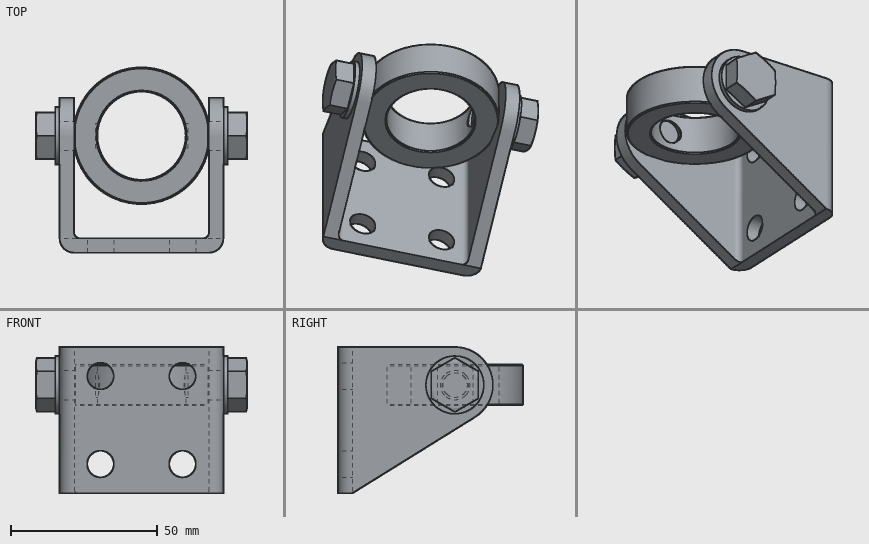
import cadquery as cq
import math


bracket_width = 56.0
plate_thickness = 5.0
bracket_height = 50.0
pivot_to_back = 40.0
lug_radius = 13.0
inner_bend_radius = 2.0
mount_hole_diameter = 9.0
mount_hole_spacing_x = 28.0
mount_hole_spacing_z = 30.0

ring_radius = 23.4
ring_bore_diameter = 30.1
ring_height = 14.0
ring_chamfer = 0.4
ring_flat_span = 45.2

overall_width = 72.2
pivot_diameter = 10.0
washer_diameter = 19.8
washer_thickness = 1.5
hex_across_flats = 16.0
head_chamfer_length = 0.35
head_face_diameter = 15.8
bolt_hole_diameter = 8.4
bolt_tip_recess = 0.7
countersink_end_inset = 0.35

bracket_half_width = bracket_width / 2
bracket_inner_width = bracket_width - 2 * plate_thickness
bracket_top = lug_radius
bracket_bottom = bracket_top - bracket_height
back_y = -pivot_to_back
bend_end_y = back_y + plate_thickness
washer_outer_x = bracket_half_width + washer_thickness
head_end_x = overall_width / 2
hex_across_corners = hex_across_flats / math.cos(math.radians(30))
bore_radius = ring_bore_diameter / 2
bolt_tip_x = bore_radius + bolt_tip_recess
countersink_end_x = bore_radius - countersink_end_inset


def x_cylinder(diameter, start_x, end_x):
    """Cylinder on the pivot axis between two X positions."""
    return cq.Workplane("YZ").workplane(offset=start_x).circle(diameter / 2).extrude(end_x - start_x)


def make_side_profile():
    """Lug outline: round end at the pivot, lower edge tangent to it, straight back edge."""
    corner_distance = math.hypot(bend_end_y, bracket_bottom)
    corner_angle = math.atan2(bracket_bottom, bend_end_y)
    tangent_angle = corner_angle + math.acos(lug_radius / corner_distance)
    tangent_point = (lug_radius * math.cos(tangent_angle), lug_radius * math.sin(tangent_angle))
    return (
        cq.Workplane("YZ")
        .moveTo(back_y, bracket_top)
        .lineTo(0, bracket_top)
        .threePointArc((lug_radius, 0), tangent_point)
        .lineTo(bend_end_y, bracket_bottom)
        .lineTo(back_y, bracket_bottom)
        .close()
        .extrude(bracket_half_width, both=True)
    )


def make_bracket():
    """Bent plate with two lugs, four mounting holes and a pivot hole through both lugs."""
    channel_depth = lug_radius - bend_end_y
    channel = (
        cq.Workplane("XY")
        .box(bracket_inner_width, channel_depth, bracket_height, centered=(True, False, False))
        .translate((0, bend_end_y, bracket_bottom))
        .edges("|Z and <Y")
        .fillet(inner_bend_radius)
    )
    bends = (
        cq.Workplane("XY")
        .box(bracket_width, lug_radius - back_y, bracket_height, centered=(True, False, False))
        .translate((0, back_y, bracket_bottom))
        .edges("|Z and <Y")
        .fillet(plate_thickness)
    )
    mount_holes = (
        cq.Workplane("XZ", origin=(0, back_y, bracket_top - bracket_height / 2))
        .rarray(mount_hole_spacing_x, mount_hole_spacing_z, 2, 2)
        .circle(mount_hole_diameter / 2)
        .extrude(-plate_thickness)
    )
    pivot_hole = x_cylinder(pivot_diameter, -bracket_half_width, bracket_half_width)
    return make_side_profile().intersect(bends).cut(channel).cut(mount_holes).cut(pivot_hole)


def make_ring():
    """Chamfered ring with a flat on each side facing the lugs."""
    ring = (
        cq.Workplane("XY")
        .circle(ring_radius)
        .circle(bore_radius)
        .extrude(ring_height / 2, both=True)
        .faces("|Z")
        .edges()
        .chamfer(ring_chamfer)
    )
    flats = cq.Workplane("XY").box(ring_flat_span, 2 * ring_radius, ring_height)
    return ring.intersect(flats)


def make_bolt():
    """Bolt on the +X side: shank, washer flange and hexagonal head with bevelled corners."""
    shank = x_cylinder(pivot_diameter, bolt_tip_x, washer_outer_x)
    washer = x_cylinder(washer_diameter, bracket_half_width, washer_outer_x)
    head = (
        cq.Workplane("YZ")
        .workplane(offset=washer_outer_x)
        .transformed(rotate=(0, 0, 90))
        .polygon(6, hex_across_corners)
        .extrude(head_end_x - washer_outer_x)
    )
    bevel_envelope = (
        cq.Workplane("XY")
        .moveTo(washer_outer_x, 0)
        .lineTo(washer_outer_x, hex_across_corners / 2)
        .lineTo(head_end_x - head_chamfer_length, hex_across_corners / 2)
        .lineTo(head_end_x, head_face_diameter / 2)
        .lineTo(head_end_x, 0)
        .close()
        .revolve(360, (0, 0, 0), (1, 0, 0))
    )
    return shank.union(washer).union(head.intersect(bevel_envelope))


def make_bolt_hole():
    """Hole from the ring bore to the bolt tip, with a 45 degree countersink at its mouth."""
    countersink_depth = (pivot_diameter - bolt_hole_diameter) / 2
    return (
        cq.Workplane("XY")
        .lineTo(0, pivot_diameter / 2)
        .lineTo(countersink_end_x - countersink_depth, pivot_diameter / 2)
        .lineTo(countersink_end_x, bolt_hole_diameter / 2)
        .lineTo(bolt_tip_x, bolt_hole_diameter / 2)
        .lineTo(bolt_tip_x, 0)
        .close()
        .revolve(360, (0, 0, 0), (1, 0, 0))
    )


def make_pivoting_ring():
    """Ring joined with its two opposite bolts as one solid."""
    body = make_ring()
    for angle in (0, 180):
        bolt = make_bolt().rotate((0, 0, 0), (0, 0, 1), angle)
        bolt_hole = make_bolt_hole().rotate((0, 0, 0), (0, 0, 1), angle)
        body = body.cut(bolt_hole).union(bolt)
    return body


bracket = make_bracket()
pivoting_ring = make_pivoting_ring()

result = cq.Compound.makeCompound([bracket.solids().val(), pivoting_ring.solids().val()])